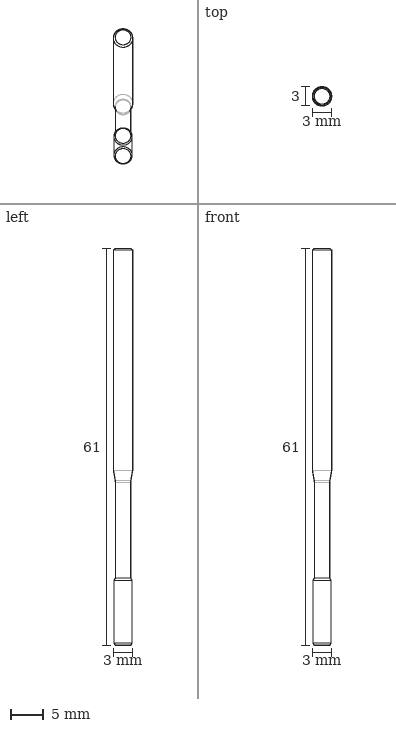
import cadquery as cq
import math

total_length = 61.0
head_length = 10.0
shank_bottom = 26.9

shank_diameter = 3.0
neck_diameter = 2.39
head_diameter = 2.79

shank_chamfer = 0.3
head_chamfer_angle = math.radians(30)
head_chamfer_width = (head_diameter - neck_diameter) / 2
head_chamfer_length = head_chamfer_width / math.tan(head_chamfer_angle)
head_top = head_length + head_chamfer_length

cone_angle = math.radians(10)
cone_fillet = 2.0
cone_length = (shank_diameter - neck_diameter) / 2 / math.tan(cone_angle)
neck_top = shank_bottom - cone_length
fillet_tangent_length = cone_fillet * math.tan(cone_angle / 2)


def revolve_about_z(half_profile):
    """Turn a closed half profile drawn in the XZ plane around the Z axis."""
    return half_profile.revolve(360, (0, 0, 0), (0, 1, 0))


def make_head():
    """Cylindrical head, chamfered at the tip and at the shoulder down to the neck diameter."""
    radius = head_diameter / 2
    end_radius = radius - head_chamfer_width
    half_profile = (
        cq.Workplane("XZ")
        .lineTo(end_radius, 0)
        .lineTo(radius, head_chamfer_length)
        .lineTo(radius, head_length)
        .lineTo(end_radius, head_top)
        .lineTo(0, head_top)
        .close()
    )
    return revolve_about_z(half_profile)


def make_shank():
    """Neck, cone and full-diameter shank in one piece, with a chamfer at the free end."""
    neck_radius = neck_diameter / 2
    radius = shank_diameter / 2
    fillet_start = (neck_radius, neck_top - fillet_tangent_length)
    fillet_end = (
        neck_radius + fillet_tangent_length * math.sin(cone_angle),
        neck_top + fillet_tangent_length * math.cos(cone_angle),
    )
    half_profile = (
        cq.Workplane("XZ")
        .moveTo(0, head_top)
        .lineTo(neck_radius, head_top)
        .lineTo(*fillet_start)
        .tangentArcPoint(fillet_end, relative=False)
        .lineTo(radius, shank_bottom)
        .lineTo(radius, total_length - shank_chamfer)
        .lineTo(radius - shank_chamfer, total_length)
        .lineTo(0, total_length)
        .close()
    )
    return revolve_about_z(half_profile)


head = make_head()
shank = make_shank()
result = cq.Compound.makeCompound([head.val(), shank.val()])